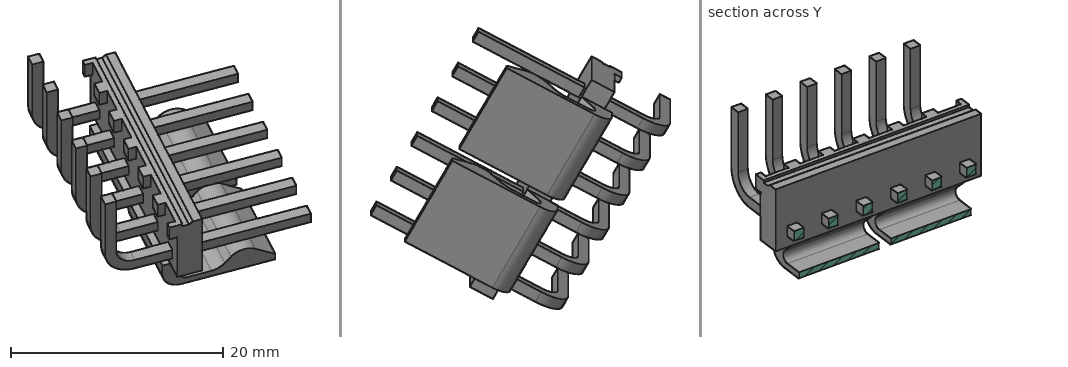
import cadquery as cq
import math


PIN_COUNT = 6
PITCH = 3.96
PIN_SIZE = 1.14
PIN_CENTER_Z = 1.78
PIN_REAR_Y = 11.45
PIN_FRONT_Y = -9.26
PIN_TOP_Z = 10.83
PIN_INNER_BEND = 1.83

WALL_LENGTH = 23.62
WALL_THICKNESS = 2.49
WALL_HEIGHT = 6.9
FRONT_Y = -3.28

GROOVE_REAR_Y = -0.92
GROOVE_FRONT_Y = -1.97
GROOVE_DEPTH = 0.27
GROOVE_SLOPE_RUN = 0.4

TOOTH_WIDTH = 1.33
TOOTH_HEIGHT = 1.6

CLIP_GAP = 1.33
CLIP_OUTER_X = (PIN_COUNT - 1) * PITCH / 2
CLIP_BOTTOM_Z = -3.14
CLIP_LEAF_THICKNESS = 0.72
CLIP_HEEL_RADIUS = 1.93
CLIP_THROAT_RADIUS = 0.66
CLIP_TIP_Y = 8.08
CREST_Y = 4.96
CREST_Z = -0.67
CREST_RADIUS = 1.9
TIP_SLOPE = math.radians(34.5)
LATCH_SLOPE = math.radians(45)
UNDERSIDE_SLOPE = math.radians(45)


def extrude_along_x(profile, x_start, x_end):
    """Extrude a closed YZ profile between two X positions."""
    return profile.extrude(x_end - x_start).translate((x_start, 0, 0))


def point_on_circle(center_y, center_z, radius, angle):
    """Point at an angle from +Z, positive toward +Y."""
    return (center_y + radius * math.sin(angle), center_z + radius * math.cos(angle))


def make_wall():
    profile = (
        cq.Workplane("YZ")
        .moveTo(0, 0)
        .lineTo(0, WALL_HEIGHT)
        .lineTo(GROOVE_REAR_Y, WALL_HEIGHT)
        .lineTo(GROOVE_REAR_Y - GROOVE_SLOPE_RUN, WALL_HEIGHT - GROOVE_DEPTH)
        .lineTo(GROOVE_FRONT_Y, WALL_HEIGHT - GROOVE_DEPTH)
        .lineTo(GROOVE_FRONT_Y, WALL_HEIGHT)
        .lineTo(-WALL_THICKNESS, WALL_HEIGHT)
        .lineTo(-WALL_THICKNESS, 0)
        .close()
    )
    return extrude_along_x(profile, -WALL_LENGTH / 2, WALL_LENGTH / 2)


def make_tooth(center_x):
    """Tooth flush with the wall top; a tooth at either end stops at the wall end."""
    x_start = max(center_x - TOOTH_WIDTH / 2, -WALL_LENGTH / 2)
    x_end = min(center_x + TOOTH_WIDTH / 2, WALL_LENGTH / 2)
    return cq.Workplane("XY").box(
        x_end - x_start, -WALL_THICKNESS - FRONT_Y, TOOTH_HEIGHT, centered=False
    ).translate((x_start, FRONT_Y, WALL_HEIGHT - TOOTH_HEIGHT))


def make_pin(center_x):
    """Square pin running through the wall and bent upward in front of it."""
    half = PIN_SIZE / 2
    bend_radius = PIN_INNER_BEND + half
    center_front_y = PIN_FRONT_Y + half
    path = (
        cq.Workplane("YZ")
        .moveTo(PIN_REAR_Y, PIN_CENTER_Z)
        .lineTo(center_front_y + bend_radius, PIN_CENTER_Z)
        .tangentArcPoint((center_front_y, PIN_CENTER_Z + bend_radius), relative=False)
        .lineTo(center_front_y, PIN_TOP_Z)
    )
    section = cq.Workplane("XZ", origin=(0, PIN_REAR_Y, PIN_CENTER_Z)).rect(PIN_SIZE, PIN_SIZE)
    return section.sweep(path).translate((center_x, 0, 0))


def make_clip(x_start, x_end):
    """Hooked spring leaf with a rounded latch crest near its tip."""
    leaf_top_z = CLIP_BOTTOM_Z + CLIP_LEAF_THICKNESS

    crest_center_z = CREST_Z - CREST_RADIUS
    tip_ramp_end = point_on_circle(CREST_Y, crest_center_z, CREST_RADIUS, TIP_SLOPE)
    latch_ramp_top = point_on_circle(CREST_Y, crest_center_z, CREST_RADIUS, -LATCH_SLOPE)
    tip_top_z = tip_ramp_end[1] - (CLIP_TIP_Y - tip_ramp_end[0]) * math.tan(TIP_SLOPE)

    hollow_center_z = leaf_top_z + CREST_RADIUS
    ramp_bottom_z = hollow_center_z - CREST_RADIUS * math.cos(LATCH_SLOPE)
    ramp_bottom_y = latch_ramp_top[0] - (latch_ramp_top[1] - ramp_bottom_z) / math.tan(LATCH_SLOPE)
    hollow_center_y = ramp_bottom_y - CREST_RADIUS * math.sin(LATCH_SLOPE)
    hollow_middle = point_on_circle(
        hollow_center_y, hollow_center_z, CREST_RADIUS, math.pi - LATCH_SLOPE / 2
    )

    throat_center_z = leaf_top_z + CLIP_THROAT_RADIUS
    throat_center_y = (
        throat_center_z / math.tan(UNDERSIDE_SLOPE) + CLIP_THROAT_RADIUS / math.sin(UNDERSIDE_SLOPE)
    )
    throat_end = point_on_circle(
        throat_center_y, throat_center_z, CLIP_THROAT_RADIUS, -UNDERSIDE_SLOPE
    )

    profile = (
        cq.Workplane("YZ")
        .moveTo(CLIP_TIP_Y, CLIP_BOTTOM_Z)
        .lineTo(CLIP_TIP_Y, tip_top_z)
        .lineTo(*tip_ramp_end)
        .tangentArcPoint((CREST_Y, CREST_Z), relative=False)
        .tangentArcPoint(latch_ramp_top, relative=False)
        .lineTo(ramp_bottom_y, ramp_bottom_z)
        .threePointArc(hollow_middle, (hollow_center_y, leaf_top_z))
        .lineTo(throat_center_y, leaf_top_z)
        .tangentArcPoint(throat_end, relative=False)
        .lineTo(0, 0)
        .lineTo(FRONT_Y, 0)
        .lineTo(FRONT_Y, CLIP_BOTTOM_Z + CLIP_HEEL_RADIUS)
        .tangentArcPoint((FRONT_Y + CLIP_HEEL_RADIUS, CLIP_BOTTOM_Z), relative=False)
        .close()
    )
    return extrude_along_x(profile, x_start, x_end)


result = make_wall()

for gap_index in range(PIN_COUNT + 1):
    result = result.union(make_tooth((gap_index - PIN_COUNT / 2) * PITCH))

for pin_index in range(PIN_COUNT):
    result = result.union(make_pin((pin_index - (PIN_COUNT - 1) / 2) * PITCH))

result = result.union(make_clip(-CLIP_OUTER_X, -CLIP_GAP / 2))
result = result.union(make_clip(CLIP_GAP / 2, CLIP_OUTER_X))